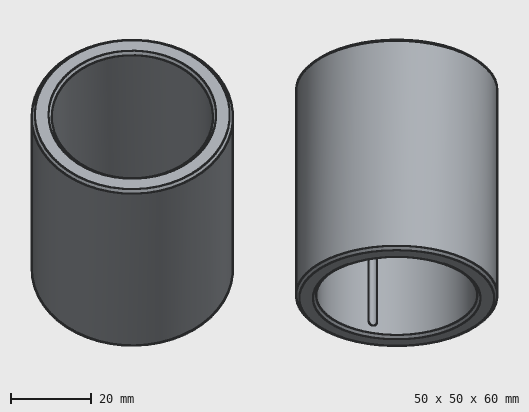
import cadquery as cq

outer_diameter = 50.0
bore_diameter = 40.0
length = 60.0
chamfer = 0.8

groove_radius = 1.2
groove_depth = 0.6
groove_straight_length = 52.0


def make_bushing():
    """Hollow cylinder with all four rims chamfered."""
    tube = (
        cq.Workplane("XY")
        .workplane(offset=-length / 2)
        .circle(outer_diameter / 2)
        .circle(bore_diameter / 2)
        .extrude(length)
    )
    return tube.faces("<Z or >Z").edges().chamfer(chamfer)


def make_groove_cutter():
    """Ball-ended rod parallel to the bore, sunk into its wall by the groove depth."""
    half_length = groove_straight_length / 2
    rod = (
        cq.Workplane("XY")
        .workplane(offset=-half_length)
        .circle(groove_radius)
        .extrude(groove_straight_length)
    )
    for end_z in (-half_length, half_length):
        ball = cq.Workplane("XY").sphere(groove_radius).translate((0, 0, end_z))
        rod = rod.union(ball)
    rod_x = bore_diameter / 2 + groove_depth - groove_radius
    return rod.translate((rod_x, 0, 0))


result = make_bushing().cut(make_groove_cutter())